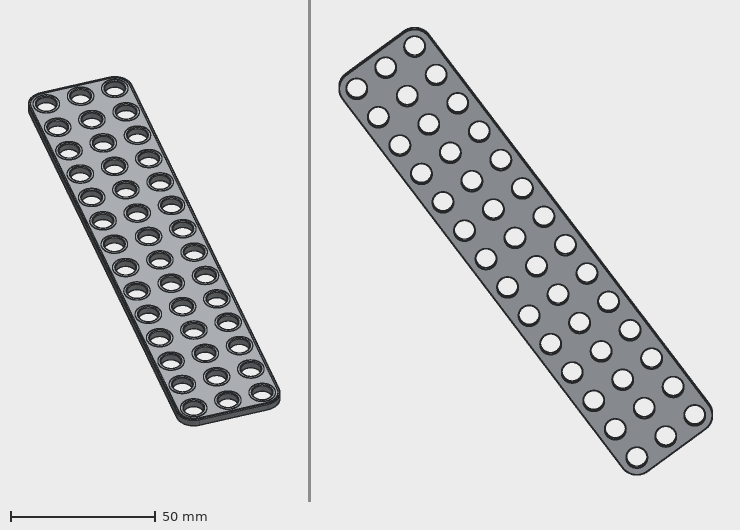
import cadquery as cq

length = 175.0
columns = 14
rows = 3
pitch = length / columns
width = rows * pitch
thickness = pitch / 4
corner_radius = pitch / 2

hole_diameter = 7.0
edge_chamfer = 0.3

recess_depth = 0.2
rim_width = 0.8
collar_width = 1.1
collar_diameter = hole_diameter + 2 * collar_width


def rounded_slab(inset, bottom, height):
    """Slab with the plate's outline moved inwards by the inset."""
    slab = cq.Workplane("XY", origin=(0, 0, bottom)).rect(length - 2 * inset, width - 2 * inset)
    return slab.extrude(height).edges("|Z").fillet(corner_radius - inset)


def cylinder_grid(diameter, bottom, height):
    """One upright cylinder in the middle of every cell."""
    centers = cq.Workplane("XY", origin=(0, 0, bottom)).rarray(pitch, pitch, columns, rows)
    return centers.circle(diameter / 2).extrude(height)


def perforated_plate():
    """Rounded plate with its holes, chamfered on both faces."""
    plate = rounded_slab(0, 0, thickness)
    plate = plate.cut(cylinder_grid(hole_diameter, 0, thickness))
    return plate.faces("<Z or >Z").edges().chamfer(edge_chamfer)


def top_recess():
    """Material removed from the top face, between the rim and the collars."""
    floor = thickness - recess_depth
    pocket = rounded_slab(rim_width, floor, recess_depth)
    return pocket.cut(cylinder_grid(collar_diameter, floor, recess_depth))


result = perforated_plate().cut(top_recess())